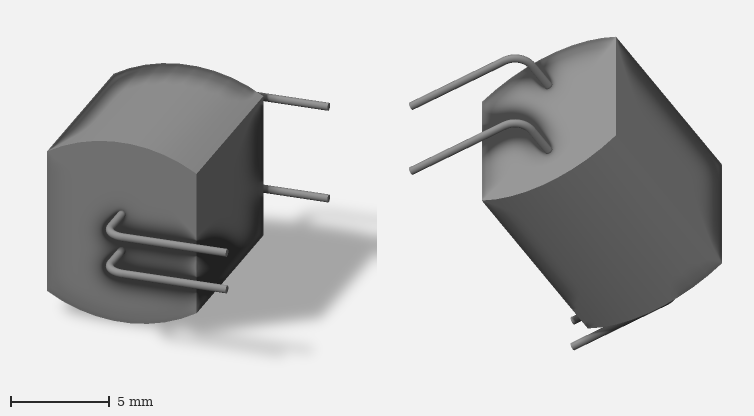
import cadquery as cq

BODY_WIDTH = 8.04
BODY_LENGTH = 10.0
BODY_HEIGHT = 10.0
SIDE_HEIGHT = 7.75
WALL = 0.5

LEAD_DIAMETER = 0.41
LEAD_ROW_SPACING = 15.24
LEAD_BEND_RADIUS = 1.0
LEAD_TIP_X = 6.59
FRONT_LEAD_PITCH = 2.03
REAR_LEAD_PITCH = 5.1
LEAD_EMBED = 1.0

FRONT = -1
REAR = 1

half_width = BODY_WIDTH / 2
half_height = BODY_HEIGHT / 2
arch_rise = (BODY_HEIGHT - SIDE_HEIGHT) / 2
arch_radius = (half_width**2 + arch_rise**2) / (2 * arch_rise)
arch_center_z = half_height - arch_radius


def arched_prism(inset):
    """Full-length prism of the body outline, moved inward by inset."""
    side_x = half_width - inset
    radius = arch_radius - inset
    corner_z = arch_center_z + (radius**2 - side_x**2) ** 0.5
    apex_z = half_height - inset
    return (
        cq.Workplane("XZ")
        .moveTo(-side_x, -corner_z)
        .lineTo(-side_x, corner_z)
        .threePointArc((0, apex_z), (side_x, corner_z))
        .lineTo(side_x, -corner_z)
        .threePointArc((0, -apex_z), (-side_x, -corner_z))
        .close()
        .extrude(BODY_LENGTH / 2, both=True)
    )


def bent_lead(end, z):
    """Round lead leaving the body at the given end (FRONT or REAR) at height z."""
    start_y = end * (BODY_LENGTH / 2 - LEAD_EMBED)
    row_y = end * LEAD_ROW_SPACING / 2
    bend_start_y = row_y - end * LEAD_BEND_RADIUS
    path = (
        cq.Workplane("XY", origin=(0, 0, z))
        .moveTo(0, start_y)
        .lineTo(0, bend_start_y)
        .tangentArcPoint((LEAD_BEND_RADIUS, row_y), relative=False)
        .lineTo(LEAD_TIP_X, row_y)
    )
    section = cq.Workplane("XZ", origin=(0, start_y, z)).circle(LEAD_DIAMETER / 2)
    return section.sweep(path)


core = arched_prism(WALL)
case = arched_prism(0).cut(core)
result = case.union(core, clean=False)

for end, pitch in ((FRONT, FRONT_LEAD_PITCH), (REAR, REAR_LEAD_PITCH)):
    for z in (-pitch / 2, pitch / 2):
        result = result.union(bent_lead(end, z), clean=False)